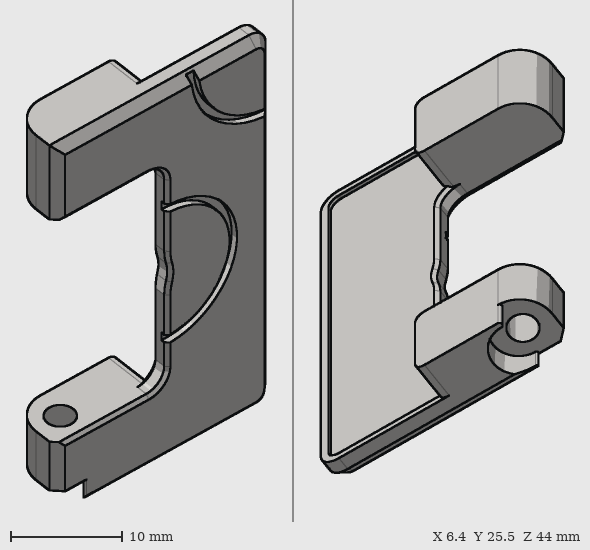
import cadquery as cq
import math

width = 6.4
length = 25.45
height = 44.0

plate_thickness = 2.4
plate_x = width - plate_thickness
plate_corner_radius = 2.0
outer_chamfer = 1.0

rim_width = 0.85
recess_depth = 0.4
recess_floor_x = plate_x + recess_depth

leg_height = 8.8
opening_y = 13.0
opening_radius = 2.1
opening_chamfer = 0.4
opening_half_height = height / 2 - leg_height

notch_depth = 0.35
notch_half_height = 2.6
notch_bottom_half_height = 1.05

block_length = 12.5
block_edge_radius = 1.0
block_end_radius = 3.5

hinge_x = 3.3
pin_y = 3.05
knuckle_y = 3.5
pin_diameter = 3.0
knuckle_diameter = 5.5
knuckle_height = 3.0

groove_width = 0.9
groove_depth = 0.75
inner_groove_radius = 7.8
corner_groove_radius = 9.15


def prism(profile_yz, start_x, depth, taper=0):
    """Extrude a YZ sketch wire drawn by profile_yz from start_x; negative depth runs toward -X."""
    return profile_yz(cq.Workplane("YZ", origin=(start_x, 0, 0))).extrude(depth, taper=taper)


def plate_outline(plane):
    return (
        plane.moveTo(0, -height / 2)
        .lineTo(length - plate_corner_radius, -height / 2)
        .radiusArc((length, -height / 2 + plate_corner_radius), -plate_corner_radius)
        .lineTo(length, height / 2 - plate_corner_radius)
        .radiusArc((length - plate_corner_radius, height / 2), -plate_corner_radius)
        .lineTo(0, height / 2)
        .close()
    )


def panel_outline(plane):
    return plate_outline(plane).offset2D(-rim_width)


def opening_outline(plane):
    """Opening running out past the leg ends, with filleted corners and the wavy notch."""
    outside_y = -length
    sweep = 2 * math.atan(notch_depth / notch_half_height)
    bottom_radius = notch_bottom_half_height / math.sin(sweep)
    flank_radius = (notch_half_height - notch_bottom_half_height) / math.sin(sweep)
    flank_y = opening_y + flank_radius * (1 - math.cos(sweep))
    straight_z = opening_half_height - opening_radius
    return (
        plane.moveTo(outside_y, -opening_half_height)
        .lineTo(opening_y - opening_radius, -opening_half_height)
        .radiusArc((opening_y, -straight_z), -opening_radius)
        .lineTo(opening_y, -notch_half_height)
        .radiusArc((flank_y, -notch_bottom_half_height), flank_radius)
        .radiusArc((flank_y, notch_bottom_half_height), -bottom_radius)
        .radiusArc((opening_y, notch_half_height), flank_radius)
        .lineTo(opening_y, straight_z)
        .radiusArc((opening_y - opening_radius, opening_half_height), -opening_radius)
        .lineTo(outside_y, opening_half_height)
        .close()
    )


def make_opening():
    """Cutter for the opening, flared at 45 degrees at the panel floor and at the +X face."""
    flare = 2 * opening_chamfer
    through = prism(opening_outline, plate_x, plate_thickness)
    back_flare = prism(opening_outline, width - opening_chamfer, flare, taper=-45)
    front_flare = prism(opening_outline, recess_floor_x + opening_chamfer, -flare, taper=-45)
    return through.union(back_flare).union(front_flare)


def chamfered_slab(start_x):
    """Plate outline from start_x to the +X face, chamfered around that face."""
    return prism(plate_outline, start_x, width - start_x).faces(">X").chamfer(outer_chamfer)


def make_plate():
    plate = chamfered_slab(plate_x)
    plate = plate.cut(prism(panel_outline, plate_x, recess_depth))
    return plate.cut(make_opening())


def make_block(bottom_z):
    """Leg block with rounded +Y edges and a large round at its -X, -Y edge."""
    block = cq.Workplane().box(width - outer_chamfer, block_length, leg_height, centered=False)
    block = block.edges(">Y and |X").fillet(block_edge_radius)
    block = block.edges("<X and <Y").fillet(block_end_radius)
    return block.translate((0, 0, bottom_z))


def make_hinge(body):
    """Cut the pin hole and the knuckle clearance into the lower block and round its lips."""
    shelf_z = -height / 2 + knuckle_height
    level = cq.Workplane(origin=(0, 0, -height / 2))
    knuckle = level.center(hinge_x, knuckle_y).circle(knuckle_diameter / 2).extrude(knuckle_height)
    end_gap = level.box(width, knuckle_y, knuckle_height, centered=False)
    pin_hole = (
        cq.Workplane(origin=(hinge_x, pin_y, shelf_z))
        .circle(pin_diameter / 2)
        .extrude(leg_height - knuckle_height)
    )
    body = body.cut(knuckle).cut(end_gap).cut(pin_hole)
    knuckle_radius = knuckle_diameter / 2
    for lip_start, lip_end in ((0, hinge_x - knuckle_radius), (hinge_x + knuckle_radius, width)):
        lip_round = (
            level.center((lip_start + lip_end) / 2, knuckle_y)
            .circle((lip_end - lip_start) / 2)
            .extrude(knuckle_height)
        )
        body = body.union(lip_round.intersect(chamfered_slab(0)))
    return body


def make_groove(center_y, center_z, radius):
    """Circular groove in the +X face; only the stretch that crosses the plate cuts material."""
    return (
        cq.Workplane("YZ", origin=(width, center_y, center_z))
        .circle(radius + groove_width / 2)
        .circle(radius - groove_width / 2)
        .extrude(-groove_depth)
    )


body = make_plate()
for block_bottom_z in (-height / 2, opening_half_height):
    body = body.union(make_block(block_bottom_z))
body = make_hinge(body)
body = body.cut(make_groove(opening_y, 0, inner_groove_radius))
body = body.cut(make_groove(length, height / 2, corner_groove_radius))

result = body